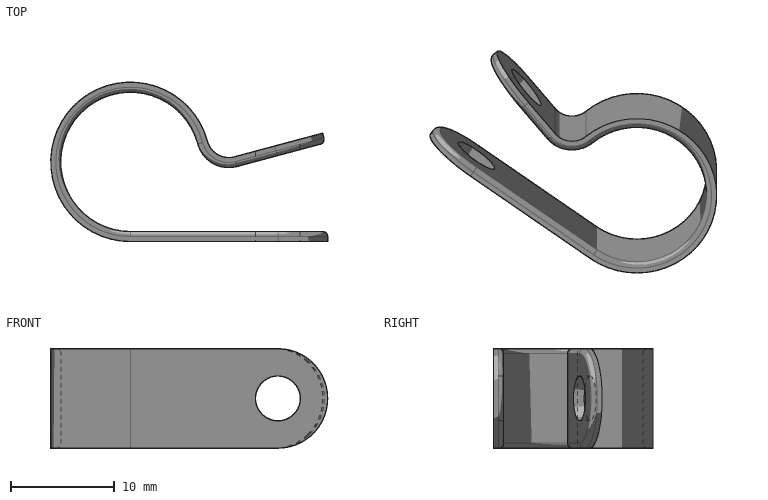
import cadquery as cq
import math

length = 26.7
width = 9.6
ring_radius = 7.7
thickness = 1.0
bend_radius = 2.1
arm_angle = 15.0
arm_straight = 4.0
hole_diameter = 4.3
edge_radius = thickness / 2

end_radius = width / 2
bore_radius = ring_radius - thickness
tab_straight = length - ring_radius - end_radius
cos_arm = math.cos(math.radians(arm_angle))
sin_arm = math.sin(math.radians(arm_angle))
mid_angle = math.radians(90 + arm_angle)
bend_distance = ring_radius + bend_radius
bend_center = (bend_distance * cos_arm, bend_distance * sin_arm)


def on_ring(radius, angle):
    return (radius * math.cos(angle), radius * math.sin(angle))


def on_bend(radius, angle):
    x, y = on_ring(radius, angle)
    return (bend_center[0] + x, bend_center[1] + y)


def along_arm(start, distance):
    return (start[0] + distance * cos_arm, start[1] + distance * sin_arm)


bend_middle = math.radians(225 + arm_angle)
bend_end = math.radians(270 + arm_angle)
bend_outer_radius = bend_radius + thickness
arm_outer_start = on_bend(bend_radius, bend_end)
arm_inner_start = on_bend(bend_outer_radius, bend_end)
arm_length = arm_straight + end_radius
tab_end = tab_straight + end_radius
ring_end = math.radians(arm_angle)

strip = (
    cq.Workplane("XY")
    .workplane(offset=-width / 2)
    .moveTo(tab_end, -ring_radius)
    .lineTo(0, -ring_radius)
    .threePointArc(on_ring(ring_radius, mid_angle), on_ring(ring_radius, ring_end))
    .threePointArc(on_bend(bend_radius, bend_middle), arm_outer_start)
    .lineTo(*along_arm(arm_outer_start, arm_length))
    .lineTo(*along_arm(arm_inner_start, arm_length))
    .lineTo(*arm_inner_start)
    .threePointArc(on_bend(bend_outer_radius, bend_middle), on_ring(bore_radius, ring_end))
    .threePointArc(on_ring(bore_radius, mid_angle), (0, -bore_radius))
    .lineTo(tab_end, -bore_radius)
    .close()
    .extrude(width)
)


def end_plane(origin, angle):
    """Plane at the centre of a round end, local x along the strip, normal across its thickness."""
    slope = math.radians(angle)
    return cq.Plane(
        origin=(origin[0], origin[1], 0),
        xDir=(math.cos(slope), math.sin(slope), 0),
        normal=(math.sin(slope), -math.cos(slope), 0),
    )


tab_plane = end_plane((tab_straight, -bore_radius), 0)
arm_plane = end_plane(along_arm(arm_outer_start, arm_straight), arm_angle)


def round_end(body, plane):
    square = cq.Workplane(plane).center(end_radius, 0).rect(width, width).extrude(thickness)
    disc = cq.Workplane(plane).circle(end_radius).extrude(thickness)
    return body.cut(square.cut(disc))


body = round_end(round_end(strip, tab_plane), arm_plane)

inner_rim_point = (tab_straight / 2, -bore_radius, width / 2)
body = body.edges(cq.NearestToPointSelector(inner_rim_point)).fillet(edge_radius)

screw_hole = (
    cq.Workplane("XZ", origin=(tab_straight, 0, 0))
    .circle(hole_diameter / 2)
    .extrude(ring_radius, both=True)
)
result = body.cut(screw_hole)